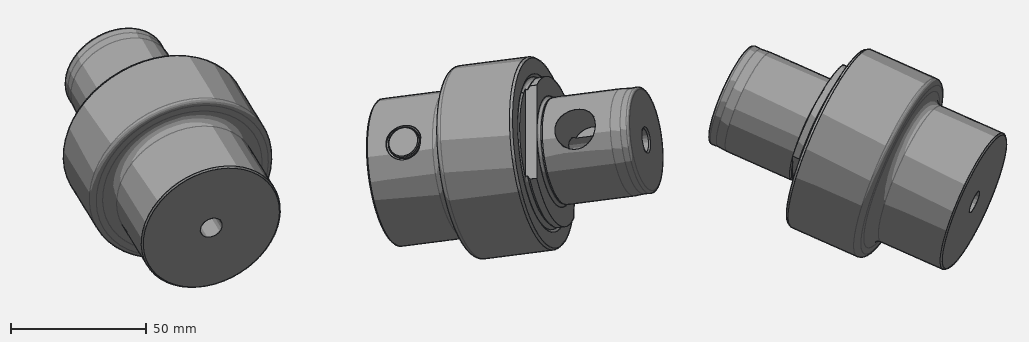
import cadquery as cq
import math

total_length = 100.0
collar_front = 35.5
shoulder_x = 40.0
drum_back = 70.0

shank_radius = 20.0
collar_radius = 28.0
drum_radius = 36.0
nose_radius = 27.5

shank_round = 1.0
lead_groove_x = 3.4
lead_groove_depth = 0.3
lead_land_depth = 0.15
lead_end_x = 7.2

drum_chamfer_length = 1.0
drum_chamfer_depth = 0.6
drum_back_round = 2.0
drum_nose_fillet = 4.0
nose_chamfer = 0.6

shank_undercut_length = 1.8
shank_undercut_ramp = 0.6
shank_undercut_depth = 0.3
shank_undercut_face_depth = 0.1
shank_undercut_round = 1.0
shank_undercut_face_run = 0.1
collar_undercut_length = 1.8
collar_undercut_ramp = 0.9
collar_undercut_depth = 0.9
collar_undercut_face_depth = 0.6
collar_undercut_round = 1.4
collar_undercut_face_run = 1.0

flat_half_width = 21.0

bore_radius = 4.3
bore_chamfer = 0.6

cross_hole_x = 20.9
cross_hole_radius = 7.9
screw_x = 85.4
screw_radius = 6.0
screw_seat_radius = 6.8
screw_length = 12.0
screw_chamfer = 0.4


def arc_offset(radius):
    """Distance from either tangent line to the middle of a quarter round."""
    return radius * (1 - math.sqrt(0.5))


def add_undercut(profile, corner_x, radius, length, ramp, depth, face_depth, corner_round, face_run):
    """Continue the profile from a cylinder into a shoulder face through a relieved corner."""
    floor_radius = radius - depth
    floor_x = corner_x + face_depth
    start_x = corner_x - length
    offset = arc_offset(corner_round)
    return (
        profile.lineTo(start_x, radius)
        .lineTo(start_x + ramp, floor_radius)
        .lineTo(floor_x - corner_round, floor_radius)
        .threePointArc((floor_x - offset, floor_radius + offset), (floor_x, floor_radius + corner_round))
        .lineTo(corner_x, floor_radius + corner_round + face_run)
    )


def turned_blank():
    round_offset = arc_offset(shank_round)
    lead_radius = shank_radius - lead_land_depth
    profile = (
        cq.Workplane("XZ")
        .lineTo(0, lead_radius - shank_round)
        .threePointArc((round_offset, lead_radius - round_offset), (shank_round, lead_radius))
        .lineTo(lead_groove_x, shank_radius - lead_groove_depth)
        .lineTo(lead_end_x, shank_radius)
    )
    profile = add_undercut(
        profile, collar_front, shank_radius, shank_undercut_length, shank_undercut_ramp,
        shank_undercut_depth, shank_undercut_face_depth, shank_undercut_round, shank_undercut_face_run,
    )
    profile = profile.lineTo(collar_front, collar_radius)
    profile = add_undercut(
        profile, shoulder_x, collar_radius, collar_undercut_length, collar_undercut_ramp,
        collar_undercut_depth, collar_undercut_face_depth, collar_undercut_round, collar_undercut_face_run,
    )
    back_offset = arc_offset(drum_back_round)
    fillet_offset = arc_offset(drum_nose_fillet)
    profile = (
        profile.lineTo(shoulder_x, drum_radius - drum_chamfer_depth)
        .lineTo(shoulder_x + drum_chamfer_length, drum_radius)
        .lineTo(drum_back - drum_back_round, drum_radius)
        .threePointArc(
            (drum_back - back_offset, drum_radius - back_offset),
            (drum_back, drum_radius - drum_back_round),
        )
        .lineTo(drum_back, nose_radius + drum_nose_fillet)
        .threePointArc(
            (drum_back + fillet_offset, nose_radius + fillet_offset),
            (drum_back + drum_nose_fillet, nose_radius),
        )
        .lineTo(total_length - nose_chamfer, nose_radius)
        .lineTo(total_length, nose_radius - nose_chamfer)
        .lineTo(total_length, 0)
        .close()
    )
    return profile.revolve(360, (0, 0, 0), (1, 0, 0))


def wrench_flat(side):
    """Material removed beside one flat, from the collar front to the shoulder."""
    cut_width = collar_radius
    return cq.Workplane("XY").box(
        shoulder_x - collar_front, cut_width, 2 * collar_radius, centered=(False, True, True)
    ).translate((collar_front, side * (flat_half_width + cut_width / 2), 0))


def central_bore():
    mouth_radius = bore_radius + bore_chamfer
    return (
        cq.Workplane("XZ")
        .lineTo(0, mouth_radius)
        .lineTo(bore_chamfer, bore_radius)
        .lineTo(total_length, bore_radius)
        .lineTo(total_length, 0)
        .close()
        .revolve(360, (0, 0, 0), (1, 0, 0))
    )


def radial_cylinder(x, radius, inner_y, outer_y):
    """Cylinder along +Y at station x."""
    axis = cq.Vector(0, 1, 0)
    return cq.Workplane(cq.Solid.makeCylinder(radius, outer_y - inner_y, cq.Vector(x, inner_y, 0), axis))


def cross_hole():
    return radial_cylinder(cross_hole_x, cross_hole_radius, 0, drum_radius)


def screw_hole():
    """Blind hole for the clamping screw with a countersunk mouth."""
    hole = radial_cylinder(screw_x, screw_radius, nose_radius - screw_length, drum_radius)
    sink_depth = screw_seat_radius - screw_radius
    rim_y = math.sqrt(nose_radius**2 - screw_seat_radius**2)
    sink = cq.Workplane(
        cq.Solid.makeCone(
            screw_radius, screw_seat_radius, sink_depth,
            cq.Vector(screw_x, rim_y - sink_depth, 0), cq.Vector(0, 1, 0),
        )
    )
    mouth = radial_cylinder(screw_x, screw_seat_radius, rim_y, drum_radius)
    return hole.union(sink).union(mouth)


def make_body():
    body = turned_blank()
    for side in (1, -1):
        body = body.cut(wrench_flat(side))
    return body.cut(central_bore()).cut(cross_hole()).cut(screw_hole())


def make_screw():
    screw = radial_cylinder(screw_x, screw_radius, nose_radius - screw_length, nose_radius)
    return screw.faces(">Y").chamfer(screw_chamfer)


body = make_body()
clamp_screw = make_screw()

result = cq.Compound.makeCompound([body.val(), clamp_screw.val()])